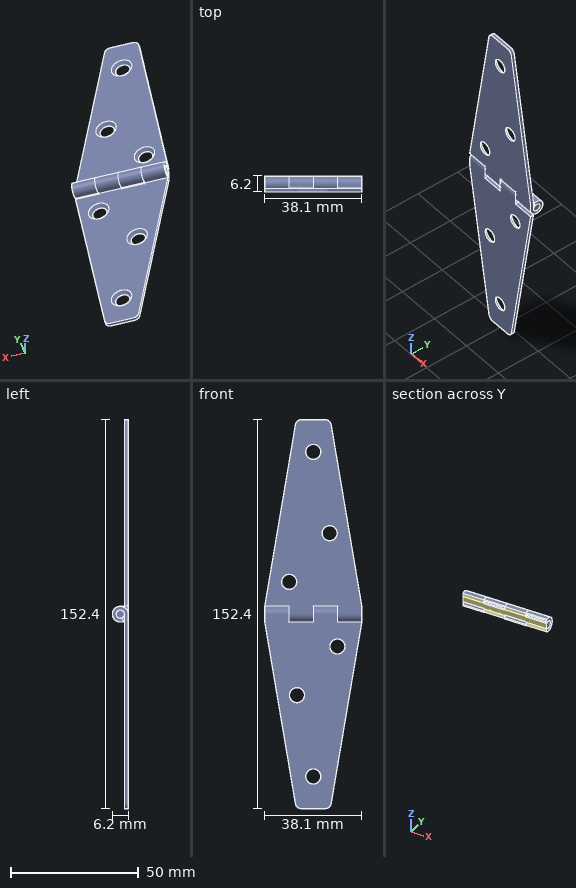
import cadquery as cq
import math

hinge_length = 152.4
hinge_width = 38.1
tip_width = 13.4
tip_corner_radius = 2.5
sheet_thickness = 1.5
barrel_diameter = 6.2
knuckle_count = 4
hole_diameter = 5.8
tail_gap = 0.2
countersink_angle = 82.0

hole_places = [(-9.5, 12.6), (6.4, 31.7), (0.0, 63.5)]

half_length = hinge_length / 2
half_width = hinge_width / 2
barrel_radius = barrel_diameter / 2
pin_radius = barrel_radius - sheet_thickness
knuckle_width = hinge_width / knuckle_count
front_face = -barrel_radius
back_face = -pin_radius
countersink_radius = hole_diameter / 2 + sheet_thickness * math.tan(math.radians(countersink_angle / 2))
tail_end = back_face + tail_gap
tail_angle = math.atan2(barrel_radius, tail_end)
diagonal = math.sqrt(0.5)


def make_screw_hole(across, height):
    """Conical cutter for one countersunk screw hole, narrow at the front and wide at the back."""
    cone = cq.Solid.makeCone(
        hole_diameter / 2,
        countersink_radius,
        sheet_thickness,
        pnt=cq.Vector(across, front_face, height),
        dir=cq.Vector(0, 1, 0),
    )
    return cq.Workplane(cone)


def make_plate():
    """Flat tapered sheet of the upper leaf, starting at the pin axis, with its screw holes."""
    plate = (
        cq.Workplane("XZ", origin=(0, back_face, 0))
        .moveTo(-half_width, 0)
        .lineTo(-half_width, barrel_radius)
        .lineTo(-tip_width / 2, half_length)
        .lineTo(tip_width / 2, half_length)
        .lineTo(half_width, barrel_radius)
        .lineTo(half_width, 0)
        .close()
        .extrude(sheet_thickness)
        .edges("|Y and >Z")
        .fillet(tip_corner_radius)
    )
    for across, height in hole_places:
        plate = plate.cut(make_screw_hole(across, height))
    return plate


def make_notch(left):
    """Clearance in the sheet for one knuckle of the opposite leaf."""
    return (
        cq.Workplane("YZ", origin=(left, 0, 0))
        .rect(hinge_width, barrel_diameter)
        .extrude(knuckle_width)
    )


def make_knuckle(left):
    """Sheet curled around the pin, its straight tail stopping just short of the leaf.

    The end face of the tail points at the pin axis, which leaves a wedge-shaped gap.
    """
    tail_inner = (pin_radius * math.cos(tail_angle), pin_radius * math.sin(tail_angle))
    return (
        cq.Workplane("YZ", origin=(left, 0, 0))
        .moveTo(front_face, 0)
        .threePointArc((-barrel_radius * diagonal, -barrel_radius * diagonal), (0, -barrel_radius))
        .threePointArc((barrel_radius, 0), (0, barrel_radius))
        .lineTo(tail_end, barrel_radius)
        .lineTo(*tail_inner)
        .threePointArc((pin_radius * diagonal, -pin_radius * diagonal), (back_face, 0))
        .close()
        .extrude(knuckle_width)
    )


def make_upper_leaf():
    """Upper leaf: knuckles in every second place, notches in the places between."""
    leaf = make_plate()
    for place in range(knuckle_count):
        left = -half_width + place * knuckle_width
        if place % 2 == 1:
            leaf = leaf.union(make_knuckle(left))
        else:
            leaf = leaf.cut(make_notch(left))
    return leaf


def make_pin():
    """Round pin through all the knuckles, flush with the leaf sides."""
    return cq.Workplane("YZ", origin=(-half_width, 0, 0)).circle(pin_radius).extrude(hinge_width)


upper_leaf = make_upper_leaf()
lower_leaf = upper_leaf.rotate((0, 0, 0), (0, 1, 0), 180)
pin = make_pin()

result = cq.Compound.makeCompound([upper_leaf.val(), lower_leaf.val(), pin.val()])